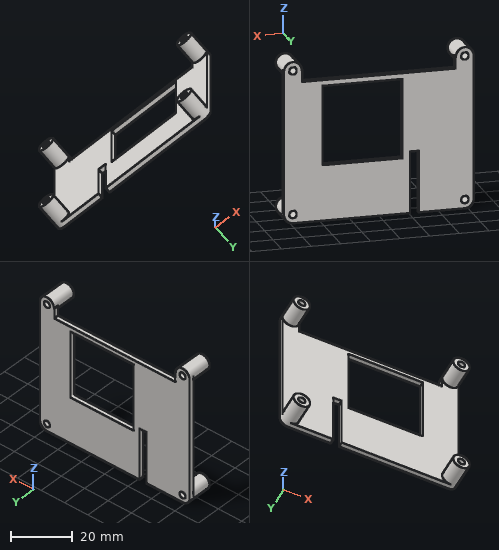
import cadquery as cq

LENGTH = 64.0
HEIGHT = 55.0
POST_LENGTH = 10.0
PLATE_THICKNESS = 2.0

POST_DIAMETER = 6.0
HOLE_DIAMETER = 2.5

TOP_DROP = 7.05
EAR_WIDTH = 6.15

WINDOW_SIZE = 27.0
WINDOW_LEFT = 24.0
WINDOW_TOP_DROP = 9.0
WINDOW_CORNER_RADIUS = 0.5

SLOT_LEFT = 18.5
SLOT_WIDTH = 3.0
SLOT_HEIGHT = 21.0

POST_RADIUS = POST_DIAMETER / 2
POST_CENTERS = [
    (x, z)
    for x in (POST_RADIUS, LENGTH - POST_RADIUS)
    for z in (POST_RADIUS, HEIGHT - POST_RADIUS)
]


def box(left, bottom, width, height):
    """Block through the plate thickness, placed by its lower left corner."""
    return (
        cq.Workplane("XY")
        .box(width, PLATE_THICKNESS, height, centered=False)
        .translate((left, POST_LENGTH - PLATE_THICKNESS, bottom))
    )


def cylinders(diameter):
    """One full-length cylinder along Y at each corner."""
    return cq.Workplane("XZ").pushPoints(POST_CENTERS).circle(diameter / 2).extrude(-POST_LENGTH)


def plate():
    """Plate whose edges run tangent to the corner posts, with two upper ears."""
    outline = box(0, POST_RADIUS, LENGTH, HEIGHT - POST_DIAMETER)
    outline = outline.union(box(POST_RADIUS, 0, LENGTH - POST_DIAMETER, POST_RADIUS))
    recess = box(
        EAR_WIDTH,
        HEIGHT - TOP_DROP,
        LENGTH - 2 * EAR_WIDTH,
        TOP_DROP,
    )
    return outline.cut(recess)


window = box(WINDOW_LEFT, HEIGHT - WINDOW_TOP_DROP - WINDOW_SIZE, WINDOW_SIZE, WINDOW_SIZE)
window = window.edges("|Y").edges(">X").edges("<Z").fillet(WINDOW_CORNER_RADIUS)
slot = box(SLOT_LEFT, 0, SLOT_WIDTH, SLOT_HEIGHT)

result = (
    plate()
    .union(cylinders(POST_DIAMETER))
    .cut(cylinders(HOLE_DIAMETER))
    .cut(window)
    .cut(slot)
)